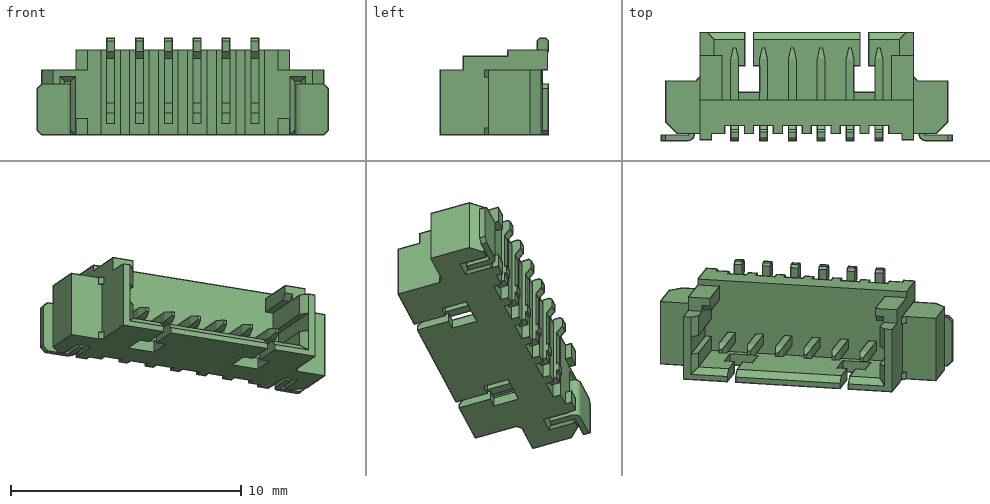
import cadquery as cq


body_width = 9.27
body_front = 0.32
body_back = 1.77
body_height = 3.7
mouth_y = 4.7
wall_height = 2.82
cavity_width = 8.06
cavity_floor = 0.5
lead_in_depth = 0.3
lead_in_side = 0.28
lead_in_floor = 0.27

groove_bottom = 1.14
groove_top = 1.94

roof_width = 0.96
roof_back = 3.71
roof_top = 3.43
roof_lead_in = 0.27

window_front = 2.11
window_back = 3.25
slit_width = 0.37

pad_width = 0.5
pad_front = 0.04
lower_pad_height = 0.72

wing_span = 12.25
wing_back = 2.6
wing_chamfer = 0.49
gusset_leg = 0.18
gusset_height = 0.3

tab_span = 12.65
tab_height = 2.21
tab_thickness = 0.25
tab_inner_x = 4.87
tab_bend_radius = 0.3
tab_corner = 0.2
tab_leg_end = 1.33
pocket_height = 2.33
pocket_flare = 0.22

contact_count = 6
contact_pitch = 1.25
contact_width = 0.34
contact_slot_width = 0.85
contact_slot_wall = 0.66
stem_front = 0.27
stem_bottom = 0.49
jog_bottom = 3.31
jog_top = 3.63
head_top = 4.2
head_depth = 0.49
head_chamfer = 0.11
pin_bottom = 0.95
pin_top = 1.38
pin_tail = 0.16
pin_shoulder = 3.53
pin_tip = 4.02
tip_width = 0.13
tip_height = 0.16

half_body = body_width / 2
half_cavity = cavity_width / 2
half_wing = wing_span / 2
contact_xs = [(i - (contact_count - 1) / 2) * contact_pitch for i in range(contact_count)]


def block(x, y, z):
    """Box given by its (low, high) limits along each axis."""
    size = (x[1] - x[0], y[1] - y[0], z[1] - z[0])
    return cq.Workplane("XY").box(*size, centered=False).translate((x[0], y[0], z[0]))


def plan_prism(points, z):
    """Outline in X and Y, raised between two heights."""
    return cq.Workplane("XY").workplane(offset=z[0]).polyline(points).close().extrude(z[1] - z[0])


def side_prism(points, x):
    """Outline in Y and Z, extended between two X positions."""
    return cq.Workplane("YZ").workplane(offset=x[0]).polyline(points).close().extrude(x[1] - x[0])


def both_ends(shape):
    """The shape together with its mirror image at the other end of the row."""
    return shape.union(shape.mirror("YZ"))


def mating_cavity():
    """Open-topped cavity with flared mouth, side-wall key grooves, windows and slits."""
    flare_start = mouth_y - lead_in_depth
    half_mouth = half_cavity + lead_in_side
    cavity_depth = wall_height - cavity_floor
    cavity = block((-half_cavity, half_cavity), (body_back, mouth_y), (cavity_floor, wall_height))
    flare = (
        cq.Workplane("XZ", origin=(0, flare_start, wall_height))
        .rect(cavity_width, 2 * cavity_depth)
        .workplane(offset=-lead_in_depth)
        .rect(2 * half_mouth, 2 * (cavity_depth + lead_in_floor))
        .loft(combine=True)
    )
    cavity = cavity.union(flare)
    cavity = cavity.union(
        block((-half_mouth, half_mouth), (body_back, mouth_y), (groove_bottom, groove_top))
    )
    window_x = (contact_xs[-2], contact_xs[-1])
    slit_centre = sum(window_x) / 2
    slit_x = (slit_centre - slit_width / 2, slit_centre + slit_width / 2)
    window = block(window_x, (window_front, window_back), (0, cavity_floor))
    slit = block(slit_x, (window_back, mouth_y), (0, cavity_floor))
    return cavity.union(both_ends(window.union(slit)))


def roof_tab():
    """Roof over one end of the cavity, with a lead-in under its mouth edge."""
    profile = [
        (body_back, wall_height),
        (roof_back - roof_lead_in, wall_height),
        (roof_back, wall_height + roof_lead_in),
        (roof_back, roof_top),
        (body_back, roof_top),
    ]
    inner = side_prism(profile, (half_body - roof_width, half_cavity))
    outer = block((half_cavity, half_body), (body_back, roof_back), (wall_height, roof_top))
    return inner.union(outer)


def stand_off_pads():
    pad_x = (half_body - pad_width, half_body)
    pad_y = (pad_front, body_front)
    lower = block(pad_x, pad_y, (0, lower_pad_height))
    upper = block(pad_x, pad_y, (wall_height, body_height))
    return lower.union(upper)


def tab_pocket():
    """Pocket for the solder tab leg, flared where it opens at the front and the underside."""
    throat_x = (tab_inner_x, tab_inner_x + tab_thickness)
    mouth_x = (throat_x[0] - pocket_flare, throat_x[1] + pocket_flare)
    mouth_centre = sum(throat_x) / 2
    mouth_width = mouth_x[1] - mouth_x[0]
    mouth_height = pocket_height + pocket_flare
    depth = tab_leg_end - body_front
    throat = block(throat_x, (body_front, tab_leg_end), (0, pocket_height))
    front = (
        cq.Workplane("XZ", origin=(mouth_centre, body_front, 0))
        .rect(mouth_width, 2 * mouth_height)
        .workplane(offset=-pocket_flare)
        .rect(tab_thickness, 2 * pocket_height)
        .loft(combine=True)
    )
    under = (
        cq.Workplane("XY", origin=(mouth_centre, body_front, 0))
        .rect(mouth_width, 2 * (depth + pocket_flare))
        .workplane(offset=pocket_flare)
        .rect(tab_thickness, 2 * depth)
        .loft(combine=True)
    )
    return throat.union(front).union(under)


def wing():
    """End wing with a chamfered front corner, two gussets and the solder tab pocket."""
    plan = [
        (half_body, body_front),
        (half_wing - wing_chamfer, body_front),
        (half_wing, body_front + wing_chamfer),
        (half_wing, wing_back),
        (half_body, wing_back),
    ]
    solid = plan_prism(plan, (0, wall_height))
    gusset = [
        (half_body, wing_back),
        (half_body + gusset_leg, wing_back),
        (half_body, wing_back + gusset_leg),
    ]
    for z in ((0, gusset_height), (wall_height - gusset_height, wall_height)):
        solid = solid.union(plan_prism(gusset, z))
    return solid.cut(tab_pocket())


def solder_tab():
    """Bent sheet tab: a flat foot on the solder side and a leg held in the wing."""
    outer_x = tab_span / 2
    leg_outer_x = tab_inner_x + tab_thickness
    inner_radius = tab_bend_radius - tab_thickness
    sheet = (
        cq.Workplane("XY")
        .moveTo(outer_x, 0)
        .lineTo(tab_inner_x + tab_bend_radius, 0)
        .radiusArc((tab_inner_x, tab_bend_radius), tab_bend_radius)
        .lineTo(tab_inner_x, tab_leg_end)
        .lineTo(leg_outer_x, tab_leg_end)
        .lineTo(leg_outer_x, tab_bend_radius)
        .radiusArc((tab_inner_x + tab_bend_radius, tab_thickness), -inner_radius)
        .lineTo(outer_x, tab_thickness)
        .close()
        .extrude(tab_height)
    )
    return sheet.edges("|Y and >X").chamfer(tab_corner)


def contact():
    """One contact: upright stem jogged out to a solder head, and a tapered mating pin."""
    stem_back = stem_front + head_depth
    profile = [
        (stem_front, stem_bottom),
        (stem_front, jog_bottom),
        (0, jog_top),
        (0, head_top - head_chamfer),
        (head_chamfer, head_top),
        (head_depth - head_chamfer, head_top),
        (head_depth, head_top - head_chamfer),
        (head_depth, jog_top),
        (stem_back, jog_bottom),
        (stem_back, stem_bottom),
    ]
    half_width = contact_width / 2
    width = (-half_width, half_width)
    stem = side_prism(profile, width)
    pin = block(width, (pin_tail, pin_shoulder), (pin_bottom, pin_top))
    tip = (
        cq.Workplane("XZ", origin=(0, pin_shoulder, (pin_bottom + pin_top) / 2))
        .rect(contact_width, pin_top - pin_bottom)
        .workplane(offset=pin_shoulder - pin_tip)
        .rect(tip_width, tip_height)
        .loft(combine=True)
    )
    return stem.union(pin).union(tip)


body = block((-half_body, half_body), (body_front, body_back), (0, body_height))
shroud = block((-half_body, half_body), (body_back, mouth_y), (0, wall_height))
housing = body.union(shroud).cut(mating_cavity())
housing = housing.union(both_ends(roof_tab().union(stand_off_pads())))
housing = housing.union(both_ends(wing()))

half_slot = contact_slot_width / 2
for x in contact_xs:
    slot = block((x - half_slot, x + half_slot), (body_front, contact_slot_wall), (0, body_height))
    housing = housing.cut(slot)

result = housing.union(both_ends(solder_tab()))
for x in contact_xs:
    result = result.union(contact().translate((x, 0, 0)))